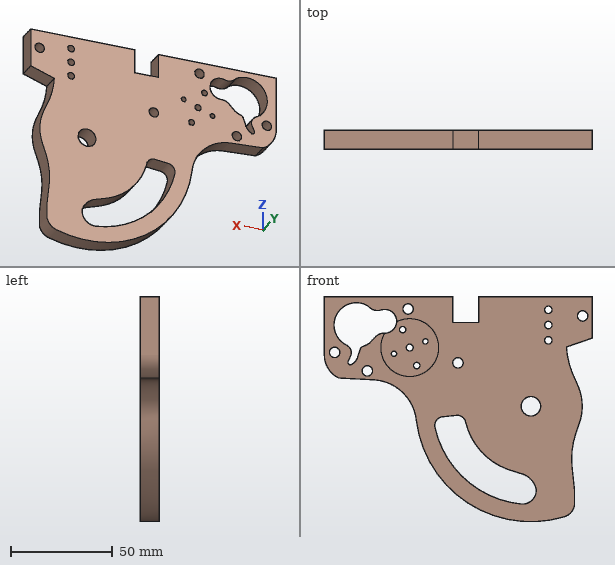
import cadquery as cq
import math

length = 132.1
height = 111.0
thickness = 9.5

quadrant_radius = 56.9
pivot_x = 101.8
pivot_z = quadrant_radius - height
pivot_diameter = 9.5
bulge_radius = 25.4
slot_outer_radius = 48.3
slot_inner_radius = 33.2

notch_left = 63.4
notch_size = 12.7

nose_height = 20.5
throat = (119.4, -24.8)
heel_x = 123.4

pocket_x = 42.1
pocket_z = -25.1
pocket_diameter = 28.5
pocket_depth = 5.0
pocket_center_hole = 3.3
pattern_angle = 21.4
minor_pair_diameter = 2.5
minor_pair_radius = 8.3
major_pair_diameter = 3.0
major_pair_radius = 9.5

screw_diameter = 5.0
screw_points = [(41.3, -6.1), (5.2, -27.5), (21.3, -36.6), (65.9, -32.6), (127.3, -9.5)]
row_diameter = 3.6
row_count = 3
row_x = 110.4
row_top_z = -6.5
row_pitch = 7.5

large_lobe_x = 15.8
large_lobe_z = -14.0
large_lobe_radius = 11.0
small_lobe_x = 29.9
small_lobe_z = -12.2
small_lobe_radius = 5.8


def polar(center_x, center_z, radius, degrees):
    """Point at an angle on a circle, measured from +X towards +Z."""
    angle = math.radians(degrees)
    return (center_x + radius * math.cos(angle), center_z + radius * math.sin(angle))


def about_pivot(radius, degrees):
    return polar(pivot_x, pivot_z, radius, degrees)


def front_plane():
    return cq.Workplane("XZ")


def through_holes(points, diameter):
    return front_plane().pushPoints(points).circle(diameter / 2).extrude(-thickness)


def plate():
    notch_right = notch_left + notch_size
    return (
        front_plane()
        .moveTo(0, 0)
        .lineTo(notch_left, 0)
        .lineTo(notch_left, -notch_size)
        .lineTo(notch_right, -notch_size)
        .lineTo(notch_right, 0)
        .lineTo(length, 0)
        .lineTo(length, -nose_height)
        .lineTo(*throat)
        .threePointArc((120.3, -31.3), (122.0, -37.0))
        .lineTo(*about_pivot(bulge_radius, 24))
        .threePointArc(about_pivot(bulge_radius, 5), about_pivot(bulge_radius, -15))
        .lineTo(123.9, -67.8)
        .threePointArc((122.2, -76.0), (122.2, -83.9))
        .lineTo(heel_x, -95.2)
        .lineTo(heel_x, -102.9)
        .threePointArc((121.8, -106.2), about_pivot(quadrant_radius, -73.3))
        .threePointArc(about_pivot(quadrant_radius, -125), about_pivot(quadrant_radius, -173))
        .threePointArc((39.2, -47.8), (25.1, -41.1))
        .lineTo(7.1, -40.2)
        .threePointArc((3.2, -37.1), (0, -28.8))
        .close()
        .extrude(-thickness)
    )


def curved_slot():
    return (
        front_plane()
        .moveTo(*about_pivot(slot_outer_radius, -167.7))
        .threePointArc(about_pivot(slot_outer_radius, -132), about_pivot(slot_outer_radius, -95.5))
        .threePointArc((102.5, -100.1), (104.3, -94.6))
        .threePointArc((101.7, -90.0), (96.3, -87.0))
        .lineTo(*about_pivot(slot_inner_radius, -110.5))
        .threePointArc(about_pivot(slot_inner_radius, -138), about_pivot(slot_inner_radius, -166))
        .threePointArc((68.0, -59.3), (65.4, -58.5))
        .lineTo(57.9, -59.3)
        .threePointArc((55.2, -61.2), about_pivot(slot_outer_radius, -167.7))
        .close()
        .extrude(-thickness)
    )


def keyhole_opening():
    def large_lobe(degrees):
        return polar(large_lobe_x, large_lobe_z, large_lobe_radius, degrees)

    def small_lobe(degrees):
        return polar(small_lobe_x, small_lobe_z, small_lobe_radius, degrees)

    return (
        front_plane()
        .moveTo(*large_lobe(-114))
        .threePointArc(large_lobe(154), large_lobe(58))
        .threePointArc((23.8, -6.3), (27.2, -6.9))
        .lineTo(*small_lobe(105))
        .threePointArc(small_lobe(0), small_lobe(-95))
        .threePointArc((27.3, -18.4), (25.8, -19.3))
        .lineTo(*large_lobe(-54))
        .threePointArc(large_lobe(-64), large_lobe(-74))
        .lineTo(18.0, -25.2)
        .lineTo(16.6, -28.9)
        .threePointArc((15.5, -31.7), (13.1, -33.5))
        .threePointArc((12.0, -33.2), (11.8, -32.1))
        .lineTo(13.1, -29.2)
        .threePointArc((13.3, -27.0), (12.4, -25.0))
        .close()
        .extrude(-thickness)
    )


def round_pocket():
    return (
        front_plane()
        .center(pocket_x, pocket_z)
        .circle(pocket_diameter / 2)
        .extrude(-pocket_depth)
    )


def opposite_pair(radius, degrees, diameter):
    points = [polar(pocket_x, pocket_z, radius, degrees + turn) for turn in (0, 180)]
    return through_holes(points, diameter)


row_points = [(row_x, row_top_z - row_pitch * index) for index in range(row_count)]

cuts = [
    curved_slot(),
    keyhole_opening(),
    round_pocket(),
    through_holes([(pocket_x, pocket_z)], pocket_center_hole),
    opposite_pair(minor_pair_radius, pattern_angle, minor_pair_diameter),
    opposite_pair(major_pair_radius, pattern_angle + 90, major_pair_diameter),
    through_holes([(pivot_x, pivot_z)], pivot_diameter),
    through_holes(screw_points, screw_diameter),
    through_holes(row_points, row_diameter),
]

result = plate()
for cut in cuts:
    result = result.cut(cut)